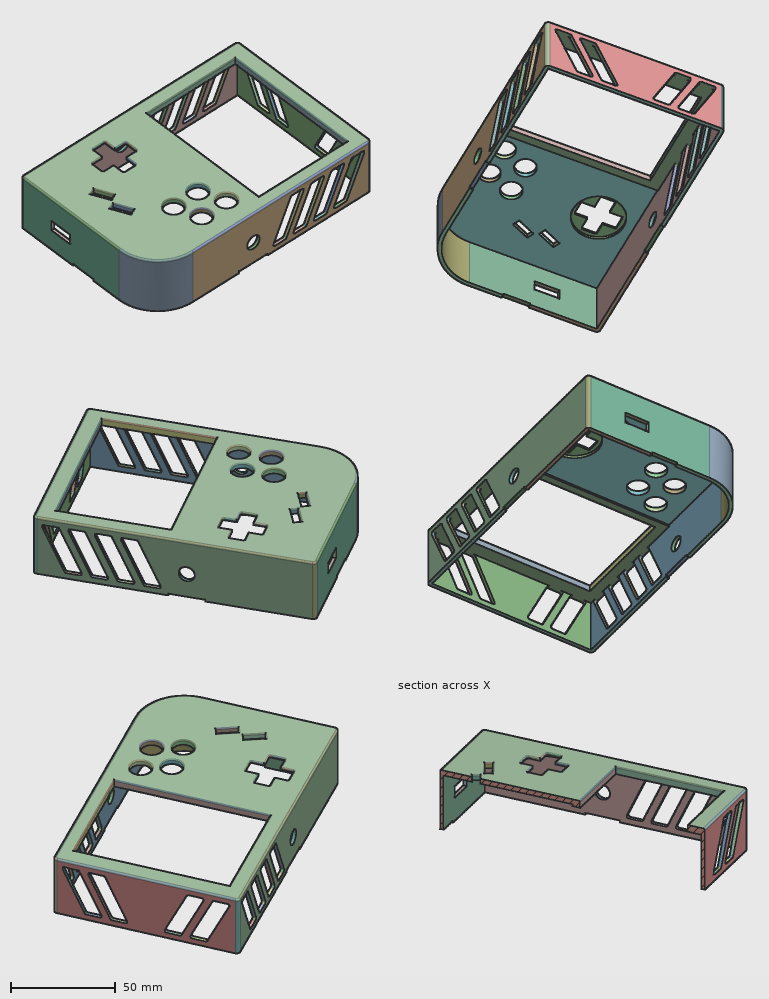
import cadquery as cq
import math

width = 94.3
length = 140.4
height = 33.0
wall = 2.0
plate = 3.0
screen_plate = 4.0
side_radius = 2.0
big_radius = 25.0
top_round = 1.0
rim_round = 0.5

screen_zone_front = 0.0
window_width = 79.0
window_length = 57.0
window_x = 0.4
window_y = 32.5

pad_x = -27.1
pad_y = -28.1
pad_span = 22.0
pad_arm = 8.0
pad_corner = 0.7
pad_pocket_diameter = 26.5
pad_plate = 1.4

button_diameter = 11.0
button_centers = [(17.7, -15.0), (17.7, -30.7), (31.5, -9.3), (31.7, -25.4)]

tilt = 25
menu_length = 10.7
menu_width = 3.8
menu_y = -50.0
menu_centers = [(-11.5, menu_y), (2.2, menu_y)]

vent_bottom = 3.2
vent_top = 29.0
vent_width = 8.0
vent_corner = 1.0
vent_pitch = 13.0
side_vent_count = 4
first_side_vent_y = 55.9
back_vent_count = 2
first_back_vent_x = 19.4

jack_diameter = 8.0
jack_y = -6.0
jack_z = 14.2
port_width = 13.2
port_height = 6.0
port_x = -19.0
port_z = 15.6

notch_depth = 1.0
side_notch_length = 18.2
front_notch_width = 14.2
front_notch_x = -3.1

one_wall_cut = 4 * wall
both_walls_cut = 2 * width


def block(size, center):
    return cq.Workplane("XY").box(*size).translate(center)


def outer_body():
    body = block((width, length, height), (0, 0, height / 2))
    body = body.edges("|Z and (<X or >Y)").fillet(side_radius)
    body = body.edges("|Z and >X and <Y").fillet(big_radius)
    return body.faces(">Z").edges().fillet(top_round)


def cavity():
    depth = height - plate
    hollow = block((width - 2 * wall, length - 2 * wall, depth), (0, 0, depth / 2))
    return hollow.edges("|Z and >X and <Y").fillet(big_radius - wall)


def screen_backing():
    thickness = screen_plate - plate
    back = length / 2 - wall
    size = (width - 2 * wall, back - screen_zone_front, thickness)
    return block(size, (0, (back + screen_zone_front) / 2, height - plate - thickness / 2))


def pad_pocket():
    pocket = cq.Workplane("XY", origin=(pad_x, pad_y, height - plate))
    return pocket.circle(pad_pocket_diameter / 2).extrude(plate - pad_plate)


def plate_openings():
    """Solid cutters for every opening in the top plate, reaching down into the cavity."""
    top = cq.Workplane("XY", origin=(0, 0, height))
    depth = -2 * screen_plate
    window = top.center(window_x, window_y).rect(window_width, window_length).extrude(depth)
    shapes = [window]
    for size_x, size_y in [(pad_span, pad_arm), (pad_arm, pad_span)]:
        bar = top.center(pad_x, pad_y).rect(size_x, size_y).extrude(depth)
        shapes.append(bar.edges("|Z").fillet(pad_corner))
    shapes.append(top.pushPoints(button_centers).circle(button_diameter / 2).extrude(depth))
    for x, y in menu_centers:
        slot = top.center(x, y).transformed(rotate=(0, 0, tilt))
        shapes.append(slot.rect(menu_length, menu_width).extrude(depth))
    return shapes


def cut_plate_openings(body):
    for shape in plate_openings():
        body = body.cut(shape)
    top_face = body.faces(">Z")
    rims = [edge for wire in top_face.val().innerWires() for edge in wire.Edges()]
    return top_face.newObject(rims).fillet(rim_round)


def vent(plane, center, depth):
    """Slanted slot at a horizontal position on a vertical plane, leaning left going up."""
    half_height = (vent_top - vent_bottom) / 2
    lean = half_height * math.tan(math.radians(tilt))
    half_width = vent_width / math.cos(math.radians(tilt)) / 2
    corners = [
        (center - lean - half_width, vent_top),
        (center - lean + half_width, vent_top),
        (center + lean + half_width, vent_bottom),
        (center + lean - half_width, vent_bottom),
    ]
    slot = cq.Workplane(plane).polyline(corners).close().extrude(depth / 2, both=True)
    along_depth = {"XZ": "|Y", "YZ": "|X"}[plane]
    return slot.edges(along_depth).fillet(vent_corner)


def side_vents():
    vents = cq.Workplane("XY")
    for i in range(side_vent_count):
        slot = vent("YZ", -(first_side_vent_y - i * vent_pitch), both_walls_cut)
        vents = vents.add(slot.mirror("XZ"))
    return vents.combine()


def back_vents():
    vents = cq.Workplane("XY")
    for i in range(back_vent_count):
        slot = vent("XZ", -(first_back_vent_x + i * vent_pitch), one_wall_cut)
        slot = slot.translate((0, length / 2, 0))
        vents = vents.add(slot).add(slot.mirror("YZ"))
    return vents.combine()


def wall_openings():
    jack = cq.Workplane("YZ").center(jack_y, jack_z).circle(jack_diameter / 2)
    jack = jack.extrude(both_walls_cut / 2, both=True)
    front = -length / 2
    port = block((port_width, one_wall_cut, port_height), (port_x, front, port_z))
    side_notch = block((both_walls_cut, side_notch_length, 2 * notch_depth), (0, jack_y, 0))
    front_notch = block((front_notch_width, one_wall_cut, 2 * notch_depth), (front_notch_x, front, 0))
    return [jack, port, side_notch, front_notch, side_vents(), back_vents()]


result = outer_body().cut(cavity()).union(screen_backing()).cut(pad_pocket())
result = cut_plate_openings(result)
for opening in wall_openings():
    result = result.cut(opening)